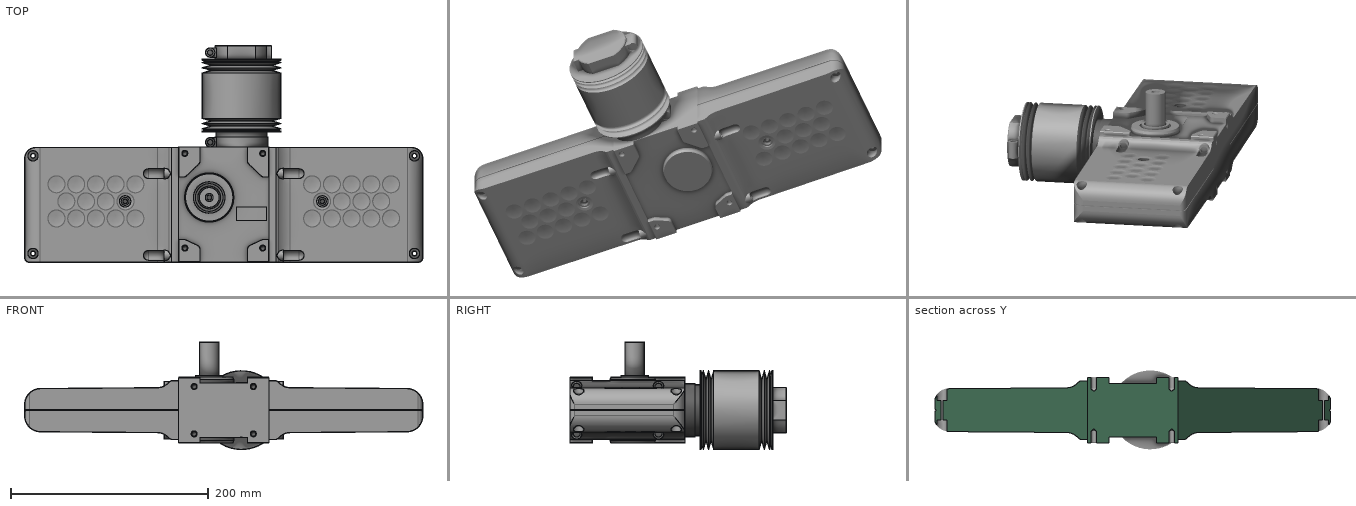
import cadquery as cq
import math


HOUSING_HALF_X = 46
HOUSING_FRONT_Y = -110
HOUSING_BACK_Y = 7
CORE_HALF_Z = 27.5
PAD_HALF_Z = 33.5
PAD_INNER_X = 24
PAD_KNEE_X = 39
BACK_PAD_SIDE_Y = -9
BACK_PAD_END_Y = -23.5
FRONT_PAD_SIDE_Y = -94
FRONT_PAD_END_Y = -87
PAD_CORNER_R = 5
PAD_CHAMFER = 0.8
SCREW_HOLE_D = 4.92
SCREW_HOLE_DEPTH = 12
SCREW_MOUTH_D = 6.1
PAD_HOLE_X = 39.5
PAD_HOLE_YS = (-95.5, 0.5)
FACE_HOLE_X = 30
FACE_HOLE_Z = 24
LABEL_SIZE = (30.5, 13.5)
LABEL_CENTER = (28, -60.75)
LABEL_HEIGHT = 0.3

SHAFT_X = -14.75
SHAFT_Y = -44.25
SHAFT_D = 20
SHAFT_TOP_Z = 69
SHAFT_BORE_D = 4.92
SHAFT_BORE_DEPTH = 20
SHAFT_SINK_D = 8
SHAFT_SINK_DEPTH = 2
BOSS_D = 50
BOSS_HALF_Z = PAD_HALF_Z
BOSS_CHAMFER_WIDTH = 1
BOSS_CHAMFER_HEIGHT = 2.5
SEAL_GROOVE_D = 32
SEAL_GROOVE_DEPTH = 1.5
SEAL_RING_D = 28
SEAL_RING_BORE_D = 23
SEAL_RING_HEIGHT = 1.8

ARM_END_X = 202
ARM_FRONT_Y = HOUSING_FRONT_Y
ARM_BACK_Y = 6.5
ARM_END_FLAT_HALF_Z = 5.5
ARM_SHOULDER_X = 186.5
ARM_SHOULDER_Z = 22
ARM_ROOT_X = 67.3
ARM_ROOT_Z = 22.9
COVE_TOP_X = 55.3
COVE_TOP_Z = 28.5
COLLAR_X = 53
COLLAR_HALF_Z = 30
ARM_FRONT_CORNER_R = 5
ARM_BACK_CORNER_R = 11.5
SEAM_WIDTH = 1
SEAM_DEPTH = 1

DIMPLE_PITCH = 20
DIMPLE_ROW_STEP = DIMPLE_PITCH * math.sin(math.radians(60))
DIMPLE_D = 17.2
DIMPLE_DEPTH = 0.8
DIMPLE_FIRST_X = 90
DIMPLE_MIDDLE_Y = -48.2
OUTER_ROW_COUNT = 5
MIDDLE_ROW_COUNT = 4

PORT_STEPS = ((11.5, 2), (8, 6), (4.5, 12))

END_HOLE_X = 193.4
END_HOLE_YS = (-101, -2)
END_HOLE_D = 4.5
END_SINK_D = 10.5
END_SINK_FLOOR_Z = 10

MOUNT_YS = (-103, -20)
MOUNT_Z = 23.8
MOUNT_SLOT_D = 10
MOUNT_SLOT_ROUND_X = 76.5
MOUNT_HEAD_D = 11
MOUNT_HEAD_X = 60.5
MOUNT_SOCKET_D = 7
MOUNT_SOCKET_DEPTH = 3

COUPLING_X = 18
COUPLING_MIDDLE_Y = 59
RIM_R = 40
FOLD_R = 31
END_GROOVE_R = 36
DRUM_HALF = 23
FOLD_1 = 25.6
RIDGE_1 = 28.3
FOLD_2 = 30.8
RIDGE_2 = 33.6
END_GROOVE = 34.8
FLANGE_INNER = 36
FLANGE_OUTER = 37
NECK_R = 26
NECK_END_Y = 17
HUB_R = 27
HUB_FAR_Y = 110
HUB_FAR_HALF_Z = 23
HUB_CHAMFER = 0.8
CLAMP_SCREW_OFFSET_X = -31.8
CLAMP_NEAR_Y = 11.75
CLAMP_FAR_Y = 102.7
CLAMP_D = 9.5
CLAMP_HALF_Z = 8.5
CLAMP_LUG_HALF_Z = 9.9
CLAMP_LUG_OVERLAP = 9
CLAMP_SOCKET_D = 5.5
CLAMP_SOCKET_DEPTH = 4
LUG_OUTER_X = 30.5
LUG_INNER_X = 20


def box(x_range, y_range, z_range):
    size = [high - low for low, high in (x_range, y_range, z_range)]
    corner = (x_range[0], y_range[0], z_range[0])
    return cq.Workplane("XY").box(*size, centered=False).translate(corner)


def cylinder_z(x, y, diameter, z_low, z_high):
    return cq.Workplane("XY", origin=(x, y, z_low)).circle(diameter / 2).extrude(z_high - z_low)


def cylinder_x(x_low, x_high, y, z, diameter):
    return cq.Workplane("YZ", origin=(x_low, y, z)).circle(diameter / 2).extrude(x_high - x_low)


def with_z_mirror(body):
    return body.union(body.mirror("XY"))


def corner_pad(edge_y, side_y, end_y):
    """One raised mounting pad at the +X side, from the core up to the pad face."""
    pad = (
        cq.Workplane("XY", origin=(0, 0, CORE_HALF_Z))
        .moveTo(HOUSING_HALF_X, edge_y)
        .lineTo(PAD_INNER_X, edge_y)
        .lineTo(PAD_INNER_X, side_y)
        .lineTo(PAD_KNEE_X, end_y)
        .lineTo(HOUSING_HALF_X, end_y)
        .close()
        .extrude(PAD_HALF_Z - CORE_HALF_Z)
        .edges("|Z")
        .edges(cq.selectors.BoxSelector(
            (PAD_INNER_X - 1, min(side_y, end_y) - 1, 0),
            (PAD_KNEE_X + 1, max(side_y, end_y) + 1, PAD_HALF_Z * 2),
        ))
        .fillet(PAD_CORNER_R)
    )
    return pad.faces(">Z").edges(">X or <Y" if edge_y < end_y else ">X").chamfer(PAD_CHAMFER)


def screw_hole_cutter():
    """Blind screw hole with a widened mouth, opening at the origin and running down -Z."""
    mouth_depth = (SCREW_MOUTH_D - SCREW_HOLE_D) / 2
    return (
        cq.Workplane("XZ")
        .moveTo(0, 0)
        .lineTo(SCREW_MOUTH_D / 2, 0)
        .lineTo(SCREW_HOLE_D / 2, -mouth_depth)
        .lineTo(SCREW_HOLE_D / 2, -SCREW_HOLE_DEPTH)
        .lineTo(0, -SCREW_HOLE_DEPTH - SCREW_HOLE_D / 2)
        .close()
        .revolve(360, (0, 0, 0), (0, 1, 0))
    )


def build_housing():
    body = box(
        (-HOUSING_HALF_X, HOUSING_HALF_X),
        (HOUSING_FRONT_Y, HOUSING_BACK_Y),
        (-CORE_HALF_Z, CORE_HALF_Z),
    )

    back_pad = corner_pad(HOUSING_BACK_Y, BACK_PAD_SIDE_Y, BACK_PAD_END_Y)
    front_pad = corner_pad(HOUSING_FRONT_Y, FRONT_PAD_SIDE_Y, FRONT_PAD_END_Y)
    for pad in (back_pad, front_pad):
        pad_pair = pad.union(pad.mirror("YZ"))
        body = body.union(with_z_mirror(pad_pair))

    boss = cylinder_z(SHAFT_X, SHAFT_Y, BOSS_D, 0, BOSS_HALF_Z)
    boss = boss.faces(">Z").chamfer(BOSS_CHAMFER_HEIGHT, BOSS_CHAMFER_WIDTH)
    body = body.union(with_z_mirror(boss))

    seal_floor = BOSS_HALF_Z - SEAL_GROOVE_DEPTH
    seal_top = BOSS_HALF_Z + SEAL_RING_HEIGHT
    seal_groove = cylinder_z(SHAFT_X, SHAFT_Y, SEAL_GROOVE_D, seal_floor, BOSS_HALF_Z)
    seal_bore = cylinder_z(SHAFT_X, SHAFT_Y, SEAL_RING_BORE_D, seal_floor, seal_top)
    seal_ring = cylinder_z(SHAFT_X, SHAFT_Y, SEAL_RING_D, seal_floor, seal_top).cut(seal_bore)
    body = body.cut(seal_groove).union(seal_ring)

    label = (
        cq.Workplane("XY", origin=(*LABEL_CENTER, CORE_HALF_Z))
        .rect(*LABEL_SIZE)
        .extrude(LABEL_HEIGHT)
    )
    body = body.union(label)

    screw_hole = screw_hole_cutter()
    for x in (-PAD_HOLE_X, PAD_HOLE_X):
        for y in PAD_HOLE_YS:
            pad_hole = screw_hole.translate((x, y, PAD_HALF_Z))
            body = body.cut(pad_hole).cut(pad_hole.mirror("XY"))

    front_hole = screw_hole.rotate((0, 0, 0), (1, 0, 0), 90)
    for x in (-FACE_HOLE_X, FACE_HOLE_X):
        for z in (-FACE_HOLE_Z, FACE_HOLE_Z):
            body = body.cut(front_hole.translate((x, HOUSING_FRONT_Y, z)))

    return body.cut(cylinder_z(SHAFT_X, SHAFT_Y, SHAFT_D, -BOSS_HALF_Z, BOSS_HALF_Z))


def build_shaft():
    body = cylinder_z(SHAFT_X, SHAFT_Y, SHAFT_D, -BOSS_HALF_Z, SHAFT_TOP_Z)
    bore = cylinder_z(SHAFT_X, SHAFT_Y, SHAFT_BORE_D, SHAFT_TOP_Z - SHAFT_BORE_DEPTH, SHAFT_TOP_Z)
    sink = cylinder_z(SHAFT_X, SHAFT_Y, SHAFT_SINK_D, SHAFT_TOP_Z - SHAFT_SINK_DEPTH, SHAFT_TOP_Z)
    return body.cut(bore).cut(sink)


def point_on_tangent_arc(tangent_point, end_point, fraction):
    """Point on the arc that leaves tangent_point along X and passes through end_point."""
    run = end_point[0] - tangent_point[0]
    rise = end_point[1] - tangent_point[1]
    radius = (run ** 2 + rise ** 2) / (2 * rise)
    angle = fraction * math.atan2(abs(run), radius - rise)
    x = tangent_point[0] + math.copysign(radius * math.sin(angle), run)
    z = tangent_point[1] + radius * (1 - math.cos(angle))
    return x, z


def arm_side_profile():
    """Upper half of the arm's outline in XZ, extruded over the arm's width."""
    root = (ARM_ROOT_X, ARM_ROOT_Z)
    cove_top = (COVE_TOP_X, COVE_TOP_Z)
    shoulder = (ARM_SHOULDER_X, ARM_SHOULDER_Z)
    end_flat = (ARM_END_X, ARM_END_FLAT_HALF_Z)
    end_run = ARM_END_X - ARM_SHOULDER_X
    end_rise = ARM_SHOULDER_Z - ARM_END_FLAT_HALF_Z
    end_radius = (end_run ** 2 + end_rise ** 2) / (2 * end_run)
    half_angle = math.atan2(end_rise, end_radius - end_run) / 2
    end_middle = (
        ARM_END_X - end_radius * (1 - math.cos(half_angle)),
        ARM_END_FLAT_HALF_Z + end_radius * math.sin(half_angle),
    )
    return (
        cq.Workplane("XZ", origin=(0, ARM_BACK_Y, 0))
        .moveTo(HOUSING_HALF_X, 0)
        .lineTo(HOUSING_HALF_X, COLLAR_HALF_Z)
        .lineTo(COLLAR_X, COLLAR_HALF_Z)
        .lineTo(*cove_top)
        .threePointArc(point_on_tangent_arc(root, cove_top, 0.5), root)
        .lineTo(*shoulder)
        .threePointArc(end_middle, end_flat)
        .lineTo(ARM_END_X, 0)
        .close()
        .extrude(ARM_BACK_Y - ARM_FRONT_Y)
    )


def arm_plan(inset):
    """Full-height block over the arm's plan outline, moved inward by inset on the free sides."""
    block = box(
        (HOUSING_HALF_X, ARM_END_X - inset),
        (ARM_FRONT_Y + inset, ARM_BACK_Y - inset),
        (-COLLAR_HALF_Z, COLLAR_HALF_Z),
    )
    block = block.edges("|Z and >X and <Y").fillet(ARM_FRONT_CORNER_R - inset)
    return block.edges("|Z and >X and >Y").fillet(ARM_BACK_CORNER_R - inset)


def arm_top_z(x):
    """Height of the gently sloping arm top at x."""
    slope = (ARM_SHOULDER_Z - ARM_ROOT_Z) / (ARM_SHOULDER_X - ARM_ROOT_X)
    return ARM_ROOT_Z + slope * (x - ARM_ROOT_X)


def dimple_places():
    for row, count in ((-1, OUTER_ROW_COUNT), (0, MIDDLE_ROW_COUNT), (1, OUTER_ROW_COUNT)):
        first_x = DIMPLE_FIRST_X if row else DIMPLE_FIRST_X + DIMPLE_PITCH / 2
        for column in range(count):
            yield first_x + column * DIMPLE_PITCH, DIMPLE_MIDDLE_Y + row * DIMPLE_ROW_STEP


def dimple(x, y):
    radius = ((DIMPLE_D / 2) ** 2 + DIMPLE_DEPTH ** 2) / (2 * DIMPLE_DEPTH)
    ball = cq.Workplane("XZ").sphere(radius)
    return ball.translate((x, y, arm_top_z(x) - DIMPLE_DEPTH + radius))


def port():
    x = DIMPLE_FIRST_X + DIMPLE_PITCH / 2
    top = arm_top_z(x)
    steps = [cylinder_z(x, DIMPLE_MIDDLE_Y, d, top - depth, top) for d, depth in PORT_STEPS]
    return steps[0].union(steps[1]).union(steps[2])


def mount_slot(y):
    slot = cylinder_x(COLLAR_X, MOUNT_SLOT_ROUND_X, y, MOUNT_Z, MOUNT_SLOT_D)
    ball = cq.Workplane("XY").sphere(MOUNT_SLOT_D / 2)
    return slot.union(ball.translate((MOUNT_SLOT_ROUND_X, y, MOUNT_Z)))


def mount_head(y):
    head = cylinder_x(COLLAR_X, MOUNT_HEAD_X, y, MOUNT_Z, MOUNT_HEAD_D)
    socket = cylinder_x(MOUNT_HEAD_X - MOUNT_SOCKET_DEPTH, MOUNT_HEAD_X, y, MOUNT_Z, MOUNT_SOCKET_D)
    return head, socket


def build_right_arm():
    body = with_z_mirror(arm_side_profile()).intersect(arm_plan(0))

    seam_band = box(
        (HOUSING_HALF_X, ARM_END_X),
        (ARM_FRONT_Y, ARM_BACK_Y),
        (-SEAM_WIDTH / 2, SEAM_WIDTH / 2),
    )
    body = body.cut(seam_band.cut(arm_plan(SEAM_DEPTH)))

    cutters = [dimple(x, y) for x, y in dimple_places()]
    cutters.append(port())
    for y in END_HOLE_YS:
        cutters.append(cylinder_z(END_HOLE_X, y, END_HOLE_D, 0, ARM_SHOULDER_Z))
        cutters.append(cylinder_z(END_HOLE_X, y, END_SINK_D, END_SINK_FLOOR_Z, ARM_SHOULDER_Z))
    for y in MOUNT_YS:
        cutters.append(mount_slot(y))
    for cutter in cutters:
        body = body.cut(cutter).cut(cutter.mirror("XY"))

    for y in MOUNT_YS:
        head, socket = mount_head(y)
        body = body.union(with_z_mirror(head))
        body = body.cut(socket).cut(socket.mirror("XY"))
    return body


def coupling_profile():
    """Half section as (radius, Y) points, symmetrical about the middle of the drum."""
    half = [
        (RIM_R, DRUM_HALF),
        (FOLD_R, FOLD_1),
        (RIM_R, RIDGE_1),
        (FOLD_R, FOLD_2),
        (RIM_R, RIDGE_2),
        (END_GROOVE_R, END_GROOVE),
        (RIM_R, FLANGE_INNER),
        (RIM_R, FLANGE_OUTER),
        (0, FLANGE_OUTER),
    ]
    far = [(r, COUPLING_MIDDLE_Y + offset) for r, offset in half]
    near = [(r, COUPLING_MIDDLE_Y - offset) for r, offset in reversed(half)]
    return near + far


def hub(y_low, y_high, radius):
    return cq.Workplane("XZ", origin=(COUPLING_X, y_high, 0)).circle(radius).extrude(y_high - y_low)


def clamp_screw(y):
    """Upright clamp screw on the -X side of a hub, with the lug that carries it."""
    x = COUPLING_X + CLAMP_SCREW_OFFSET_X
    screw = cylinder_z(x, y, CLAMP_D, -CLAMP_HALF_Z, CLAMP_HALF_Z)
    lug = box(
        (x, x + CLAMP_LUG_OVERLAP),
        (y - CLAMP_D / 2, y + CLAMP_D / 2),
        (-CLAMP_LUG_HALF_Z, CLAMP_LUG_HALF_Z),
    )
    lug = lug.cut(cylinder_z(x, y, CLAMP_D, -CLAMP_LUG_HALF_Z, CLAMP_LUG_HALF_Z))
    socket = cylinder_z(x, y, CLAMP_SOCKET_D, CLAMP_HALF_Z - CLAMP_SOCKET_DEPTH, CLAMP_HALF_Z)
    return screw.union(lug).cut(socket)


def build_coupling():
    drum = (
        cq.Workplane("XY")
        .polyline(coupling_profile())
        .close()
        .revolve(360, (0, 0, 0), (0, 1, 0))
        .translate((COUPLING_X, 0, 0))
    )
    near_hub = hub(HOUSING_BACK_Y, NECK_END_Y, HUB_R)
    neck = hub(NECK_END_Y, COUPLING_MIDDLE_Y, NECK_R)

    far_hub = hub(COUPLING_MIDDLE_Y, HUB_FAR_Y, HUB_R)
    far_lug = box(
        (COUPLING_X + LUG_INNER_X, COUPLING_X + LUG_OUTER_X),
        (COUPLING_MIDDLE_Y + FLANGE_OUTER, HUB_FAR_Y),
        (-CLAMP_LUG_HALF_Z, CLAMP_LUG_HALF_Z),
    )
    flats = box(
        (COUPLING_X - RIM_R, COUPLING_X + RIM_R),
        (COUPLING_MIDDLE_Y, HUB_FAR_Y),
        (-HUB_FAR_HALF_Z, HUB_FAR_HALF_Z),
    )
    far_hub = far_hub.union(far_lug).intersect(flats).faces(">Y").chamfer(HUB_CHAMFER)

    body = drum.union(near_hub).union(neck).union(far_hub)
    for y in (CLAMP_NEAR_Y, CLAMP_FAR_Y):
        body = body.union(clamp_screw(y))
    return body


housing = build_housing()
output_shaft = build_shaft()
right_arm = build_right_arm()
left_arm = right_arm.mirror("YZ")
coupling = build_coupling()

result = cq.Compound.makeCompound([
    *housing.solids().vals(),
    *output_shaft.solids().vals(),
    *right_arm.solids().vals(),
    *left_arm.solids().vals(),
    *coupling.solids().vals(),
])